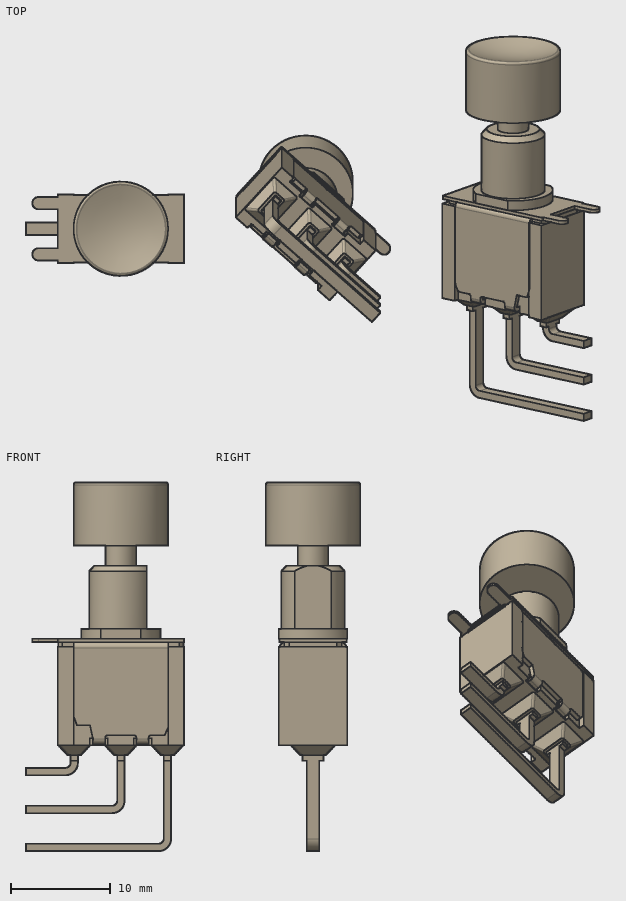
import cadquery as cq
import math


body_length = 12.7
body_depth = 6.9
body_height = 9.9

shell_thickness = 0.46
shell_outer_depth = 6.7
shell_bend_radius = 0.54
shell_end_setback = 0.05
panel_length = 9.5
shell_corner_x = 0.42
shell_corner_y = 0.5

tab_inner = 1.55
tab_outer = 2.8
notch_top = 1.02
notch_corner = 0.15
left_cut_top = 2.0
left_cut_inner = 3.1
left_cut_rise = 0.95
right_cut_rise = 0.75
side_cut_slope = 0.35
tab_shoulder = 0.65
tab_bottom = 0.1
tab_reach = 0.9
slot_inner = 1.3
slot_outer = 3.1
slot_height = 0.7

plate_thickness = 0.35
plate_depth = 6.8
plate_corner_radius = 0.1
prong_width = 1.25
prong_offset = 2.57
prong_tip_x = -8.9

collar_diameter = 8.0
collar_flats = 6.9
collar_height = 0.99
bushing_diameter = 6.4
bushing_flat_x = 2.62
bushing_height = 6.36
bushing_chamfer = 0.55
plunger_diameter = 3.1
plunger_gap = 2.0
plunger_insertion = 3.0

cap_diameter = 9.5
cap_height = 6.36
cap_rim_radius = 0.25
dish_diameter = 8.9
dish_depth = 0.75

terminal_count = 3
terminal_pitch = 4.68
terminal_thickness = 0.76
terminal_width = 1.27
terminal_shoulder_width = 2.15
terminal_shoulder_z = -1.55
terminal_tip_x = -9.53
terminal_first_z = -2.63
terminal_row_pitch = 3.81
terminal_bend_inner = 0.5
mound_height = 0.98
mound_base_x = 3.2
mound_base_y = 4.45
mound_taper = 0.92
mound_corner_radius = 0.3

shell_top = body_height + shell_thickness
plate_top = shell_top + plate_thickness
collar_top = plate_top + collar_height
bushing_top = collar_top + bushing_height
cap_bottom = bushing_top + plunger_gap
cap_top = cap_bottom + cap_height
half_panel = panel_length / 2
shell_y = shell_outer_depth / 2
panel_inner_y = shell_y - shell_thickness
slot_center = (slot_inner + slot_outer) / 2


def block(x0, x1, y0, y1, z0, z1):
    """Box between two opposite corners."""
    return cq.Workplane("XY").box(x1 - x0, y1 - y0, z1 - z0, centered=False).translate((x0, y0, z0))


def cylinder(diameter, z0, z1):
    """Upright cylinder on the plunger axis."""
    return cq.Workplane("XY").workplane(offset=z0).circle(diameter / 2).extrude(z1 - z0)


def make_housing():
    half_length = body_length / 2
    half_depth = body_depth / 2
    housing = block(-half_length, half_length, -half_depth, half_depth, 0, body_height)
    slot_length = slot_outer - slot_inner
    slot_floor_y = shell_y - tab_reach
    for side in (-1, 1):
        recess_y = sorted((side * panel_inner_y, side * half_depth))
        housing = housing.cut(block(-half_panel, half_panel, *recess_y, 0, body_height))
        slot_y = sorted((side * slot_floor_y, side * half_depth))
        for x in (-slot_center, slot_center):
            housing = housing.cut(
                block(x - slot_length / 2, x + slot_length / 2, *slot_y, 0, slot_height)
            )
    return housing


def make_shell_top():
    half_length = body_length / 2 - shell_end_setback
    outline = [
        (half_length, panel_inner_y - shell_corner_y),
        (half_length - shell_corner_x, panel_inner_y),
        (-half_length + shell_corner_x, panel_inner_y),
        (-half_length, panel_inner_y - shell_corner_y),
        (-half_length, -panel_inner_y + shell_corner_y),
        (-half_length + shell_corner_x, -panel_inner_y),
        (half_length - shell_corner_x, -panel_inner_y),
        (half_length, -panel_inner_y + shell_corner_y),
    ]
    return cq.Workplane("XY").workplane(offset=body_height).polyline(outline).close().extrude(shell_thickness)


def make_shell_panels():
    """Two side panels with a stepped lower edge and folded tabs, joined over the top."""
    wrap = block(-half_panel, half_panel, -shell_y, shell_y, tab_bottom, shell_top)
    wrap = wrap.edges("|X").fillet(shell_bend_radius)
    fold_y = shell_y - tab_reach
    fold_top = tab_bottom + shell_thickness
    wrap = wrap.cut(block(-half_panel, half_panel, -panel_inner_y, panel_inner_y, fold_top, body_height))
    wrap = wrap.cut(block(-half_panel, half_panel, -fold_y, fold_y, 0, fold_top))

    edge = [
        (-half_panel, shell_top),
        (-half_panel, left_cut_top + left_cut_rise),
        (-half_panel + side_cut_slope, left_cut_top),
        (-left_cut_inner, left_cut_top),
        (-tab_outer, tab_shoulder),
        (-tab_outer, 0),
        (-tab_inner, 0),
        (-tab_inner, notch_top - notch_corner),
        (-tab_inner + notch_corner, notch_top),
        (tab_inner - notch_corner, notch_top),
        (tab_inner, notch_top - notch_corner),
        (tab_inner, 0),
        (tab_outer, 0),
        (tab_outer, notch_top - notch_corner),
        (tab_outer + notch_corner, notch_top),
        (half_panel - side_cut_slope, notch_top),
        (half_panel, notch_top + right_cut_rise),
        (half_panel, shell_top),
    ]
    kept = cq.Workplane("XZ").polyline(edge).close().extrude(shell_y, both=True)
    return wrap.intersect(kept)


def make_bushing():
    neck = cylinder(bushing_diameter, shell_top, plate_top)
    collar = cylinder(collar_diameter, plate_top, collar_top)
    collar_radius = collar_diameter / 2
    collar = collar.intersect(
        block(-collar_radius, collar_radius, -collar_flats / 2, collar_flats / 2, plate_top, collar_top)
    )
    barrel = cylinder(bushing_diameter, collar_top, bushing_top).faces(">Z").chamfer(bushing_chamfer)
    radius = bushing_diameter / 2
    barrel = barrel.cut(block(bushing_flat_x, radius, -radius, radius, collar_top, bushing_top))
    plunger = cylinder(plunger_diameter, bushing_top, cap_bottom + plunger_insertion)
    return neck.union(collar).union(barrel).union(plunger)


def make_mound(x):
    """Tapered block of sealing compound around a terminal."""
    return (
        cq.Workplane("XY")
        .center(x, 0)
        .rect(mound_base_x, mound_base_y)
        .workplane(offset=-mound_height)
        .rect(mound_base_x - 2 * mound_taper, mound_base_y - 2 * mound_taper)
        .loft(combine=True)
        .edges("not(|X or |Y)")
        .fillet(mound_corner_radius)
    )


def make_terminal(x, row_z):
    """Flat lead that drops below the housing and turns toward -X at row_z."""
    half = terminal_thickness / 2
    inner = terminal_bend_inner
    outer = inner + terminal_thickness
    diagonal = math.sqrt(0.5)
    center_x = x - half - inner
    center_z = row_z + half + inner
    lead = (
        cq.Workplane("XZ")
        .moveTo(x - half, -mound_height)
        .lineTo(x - half, center_z)
        .threePointArc((center_x + inner * diagonal, center_z - inner * diagonal), (center_x, row_z + half))
        .lineTo(terminal_tip_x, row_z + half)
        .lineTo(terminal_tip_x, row_z - half)
        .lineTo(center_x, row_z - half)
        .threePointArc((center_x + outer * diagonal, center_z - outer * diagonal), (x + half, center_z))
        .lineTo(x + half, -mound_height)
        .close()
        .extrude(terminal_width / 2, both=True)
    )
    half_shoulder = terminal_shoulder_width / 2
    shoulder = block(x - half, x + half, -half_shoulder, half_shoulder, terminal_shoulder_z, -mound_height)
    return lead.union(shoulder)


def make_switch():
    switch = make_housing().union(make_shell_top()).union(make_shell_panels()).union(make_bushing())
    for index in range(terminal_count):
        x = (index - (terminal_count - 1) / 2) * terminal_pitch
        row_z = terminal_first_z - index * terminal_row_pitch
        switch = switch.union(make_mound(x)).union(make_terminal(x, row_z))
    return switch


def make_support_plate():
    half_length = body_length / 2
    half_depth = plate_depth / 2
    plate = block(-half_length, half_length, -half_depth, half_depth, shell_top, plate_top)
    plate = plate.edges("|Z").fillet(plate_corner_radius)
    tip_center_x = prong_tip_x + prong_width / 2
    half_width = prong_width / 2
    for y in (-prong_offset, prong_offset):
        prong = block(tip_center_x, 0, y - half_width, y + half_width, shell_top, plate_top)
        tip = cylinder(prong_width, shell_top, plate_top).translate((tip_center_x, y, 0))
        plate = plate.union(prong).union(tip)
    return plate.cut(cylinder(bushing_diameter, shell_top, plate_top))


def make_cap():
    cap = cylinder(cap_diameter, cap_bottom, cap_top).faces(">Z").edges().fillet(cap_rim_radius)
    dish_half = dish_diameter / 2
    sphere_radius = (dish_half**2 + dish_depth**2) / (2 * dish_depth)
    dish = cq.Workplane("XY").sphere(sphere_radius).translate((0, 0, cap_top - dish_depth + sphere_radius))
    socket = cylinder(plunger_diameter, cap_bottom, cap_bottom + plunger_insertion)
    return cap.cut(dish).cut(socket)


cap = make_cap().solids()
switch = make_switch().solids()
support_plate = make_support_plate().solids()

result = cq.Compound.makeCompound([cap.val(), switch.val(), support_plate.val()])